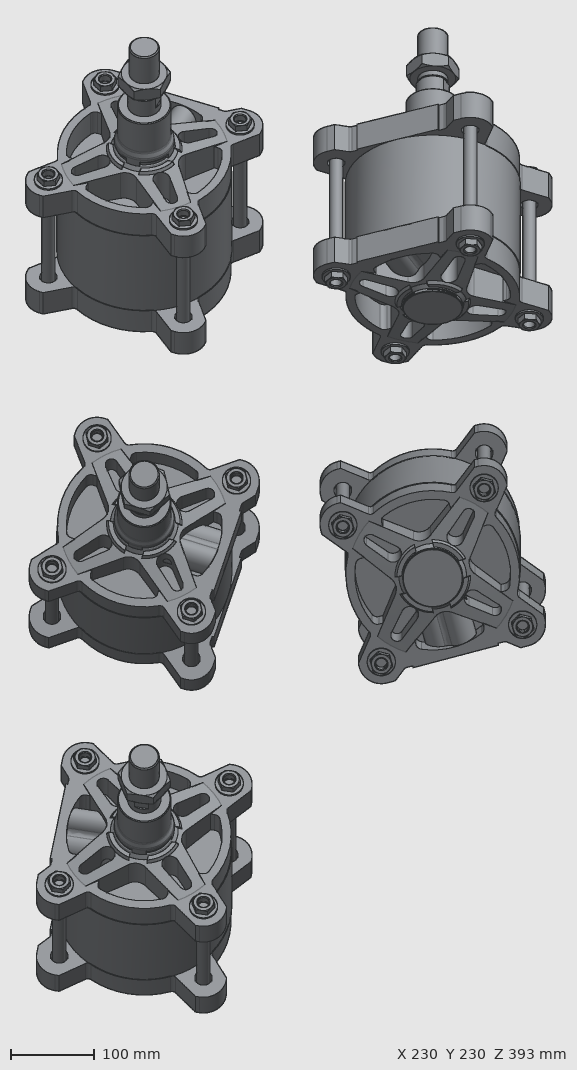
import cadquery as cq
import math

TOTAL_HEIGHT = 393.0
COVER_THICKNESS = 36.0
LOWER_FACE_Z = 16.5
UPPER_FACE_Z = 215.0
MID_Z = (LOWER_FACE_Z + UPPER_FACE_Z) / 2

BARREL_DIA = 210.0
COVER_DIA = 208.0
OUTER_WIDTH = 230.0
TIE_ROD_POS = 87.5
LUG_RADIUS = OUTER_WIDTH / 2 - TIE_ROD_POS
LUG_FLAT = 4.7
PORT_LUG_FLAT = 10.0
LUG_SIDE_ANGLE = 38.3
LUG_SIDE_RUN = 47.0
LUG_ROOT_FILLET = 6.0
PORT_FLAT_Y = 102.5
PORT_FLAT_WIDTH = 125.8
PORT_PAD_Y = BARREL_DIA / 2
PORT_PAD_WIDTH = 106.0

CREST_CONE_RADIUS = 101.0
CREST_CONE_SLOPE = 0.13
ARM_END_HALF_WIDTH = 19.3
ARM_TAPER = 0.14
POCKET_RADIUS = 93.0
POCKET_HALF_WIDTH = 42.0
POCKET_ROOT_FILLET = 17.3
POCKET_CORNER_FILLET = 8.0
POCKET_FLOOR = 0.5
SLOT_OUTER_POS = 86.0
SLOT_OUTER_RADIUS = 7.5
SLOT_INNER_POS = 55.0
SLOT_INNER_RADIUS = 10.2

HUB_RADIUS = 51.0
COLLAR_RADIUS = 45.0
COLLAR_TOP_RADIUS = 43.0
COLLAR_HEIGHT = 11.0
COLLAR_GAP = 22.0
SKIRT_RADIUS = 40.5
SKIRT_HEIGHT = 12.0
NOSE_DIA = 72.0
GROOVE_BOTTOM = 12.0
GROOVE_HEIGHT = 6.5
GROOVE_DEPTH = 2.0
GROOVE_FLANK = 1.0
RIB_WIDTH = 17.3
NOSE_CHAMFER = 0.8
REAR_GROOVE_Z = 2.8
REAR_GROOVE_HEIGHT = 2.8

PORT_BOSS_DIA = 40.0
PORT_BOSS_X = -13.0
PORT_BOSS_Z = 2.5
VALVE_BOSS_DIA = 33.8
VALVE_BOSS_X = 13.5
BOSS_LENGTH = 98.2
BOSS_VALLEY_FILLET = 8.0

TIE_ROD_DIA = 16.0
TIE_ROD_CLEARANCE_DIA = 21.0
FLANGE_DIA = 33.8
FLANGE_THICKNESS = 2.5
TIE_NUT_FLATS = 24.0
TIE_NUT_HEIGHT = 11.0
SOCKET_DIA = 13.8
SOCKET_DEPTH = 11.8
SOCKET_CHAMFER = 1.0

GLAND_DIA = 64.0
GLAND_TOP_Z = 295.5
GLAND_CHAMFER = 1.0
CONE_TOP_Z = 246.5
CONE_BOTTOM_Z = 239.0
CONE_FILLET = 5.0

ROD_DIA = 40.0
ROD_SHOULDER_Z = 321.0
THREAD_DIA = 36.0
THREAD_START_Z = 324.2
UNDERCUT_DIA = 33.5
THREAD_CHAMFER = 1.5
FLATS_WIDTH = 36.0
FLATS_BOTTOM_Z = 305.0
ROD_NUT_FLATS = 55.0
ROD_NUT_HEIGHT = 18.5
ROD_NUT_BOTTOM_Z = 330.5
NUT_CHAMFER_ANGLE = 30.0


def on_diagonals(shape):
    """Combine four copies of a shape, turned onto the four diagonals."""
    copies = cq.Workplane("XY")
    for angle in (45, 135, 225, 315):
        copies = copies.add(shape.rotate((0, 0, 0), (0, 0, 1), angle))
    return copies.combine()


def hexagon_nut(flats, height):
    """Upright hexagon prism with two of its flats facing +X and -X."""
    corner_dia = flats / math.cos(math.radians(30))
    return cq.Workplane("XY").polygon(6, corner_dia).extrude(height).rotate((0, 0, 0), (0, 0, 1), 30)


def corner_cone(flats, height):
    """Cone that trims the top corners of a hexagon nut, down from its flats at the given height."""
    reach = flats
    drop = reach * math.tan(math.radians(NUT_CHAMFER_ANGLE))
    outline = [(0, -flats), (flats / 2 + reach, -flats), (flats / 2 + reach, height - drop),
               (flats / 2, height), (0, height)]
    return cq.Workplane("XZ").polyline(outline).close().revolve(360, (0, 0), (0, 1))


def mirrored_about_middle(shape):
    """Mirror image of a shape in the plane halfway between the two covers."""
    return shape.mirror("XY", (0, 0, MID_Z))



def lug(y_side):
    """One corner lug in the quadrant of +X and the given Y side (1 faces the port)."""
    outer = OUTER_WIDTH / 2
    slant = math.radians(LUG_SIDE_ANGLE)
    along = LUG_SIDE_RUN * math.cos(slant)
    across = LUG_SIDE_RUN * math.sin(slant)
    end_flat = PORT_LUG_FLAT if y_side > 0 else LUG_FLAT
    end_start = TIE_ROD_POS - end_flat
    side_start = TIE_ROD_POS - LUG_FLAT
    round_middle = TIE_ROD_POS + LUG_RADIUS * math.cos(math.radians(45))
    return (
        cq.Workplane("XY")
        .moveTo(0, 0)
        .lineTo(end_start - along, y_side * (outer - across))
        .lineTo(end_start, y_side * outer)
        .lineTo(TIE_ROD_POS, y_side * outer)
        .threePointArc((round_middle, y_side * round_middle), (outer, y_side * TIE_ROD_POS))
        .lineTo(outer, y_side * side_start)
        .lineTo(outer - across, y_side * (side_start - along))
        .close()
        .extrude(COVER_THICKNESS)
    )


def is_lug_root(edge):
    """True for the upright inner corners where a lug meets the round or flat side."""
    x, y, _ = edge.Center().toTuple()
    on_round = abs(math.hypot(x, y) - COVER_DIA / 2) < 0.2
    on_flat = abs(y - PORT_FLAT_Y) < 0.2 and abs(x) > PORT_PAD_WIDTH / 2
    return on_round or on_flat


def cover_plate():
    """Flat cover outline: a disc with a squared port side and four lugs."""
    plate = cq.Workplane("XY").circle(COVER_DIA / 2).extrude(COVER_THICKNESS)
    for width, reach in ((PORT_FLAT_WIDTH, PORT_FLAT_Y), (PORT_PAD_WIDTH, PORT_PAD_Y)):
        plate = plate.union(cq.Workplane("XY").box(width, reach, COVER_THICKNESS, (True, False, False)))
    for y_side in (1, -1):
        one_lug = lug(y_side)
        plate = plate.union(one_lug).union(one_lug.mirror("YZ"))
    return plate.edges("|Z").filter(is_lug_root).fillet(LUG_ROOT_FILLET)


def crest_height(radius):
    """Height of the conical top of the arms and hub above the outer face."""
    return CREST_CONE_SLOPE * (CREST_CONE_RADIUS - radius)


def spider():
    """Four tapered arms and a hub under one shallow cone that rises toward the axis."""
    top_z = COVER_THICKNESS + crest_height(SKIRT_RADIUS)
    outline = [(0, 0), (CREST_CONE_RADIUS, 0), (CREST_CONE_RADIUS, COVER_THICKNESS),
               (SKIRT_RADIUS, top_z), (0, top_z)]
    crest = cq.Workplane("XZ").polyline(outline).close().revolve(360, (0, 0), (0, 1))
    axis_half_width = ARM_END_HALF_WIDTH + CREST_CONE_RADIUS * ARM_TAPER
    plan = [(0, -axis_half_width), (CREST_CONE_RADIUS, -ARM_END_HALF_WIDTH),
            (CREST_CONE_RADIUS, ARM_END_HALF_WIDTH), (0, axis_half_width)]
    arm = cq.Workplane("XY").polyline(plan).close().extrude(top_z)
    hub = cq.Workplane("XY").circle(HUB_RADIUS).extrude(top_z)
    return crest.intersect(on_diagonals(arm).union(hub))


def pocket():
    """Cutter for the pocket between two arms on the +Y side."""
    arm_meeting = (ARM_END_HALF_WIDTH + CREST_CONE_RADIUS * ARM_TAPER) / (1 + ARM_TAPER)
    apex_y = arm_meeting * math.sqrt(2)
    side_slope = (1 - ARM_TAPER) / (1 + ARM_TAPER)
    side_y = apex_y + POCKET_HALF_WIDTH * side_slope
    outline = [(0, apex_y), (POCKET_HALF_WIDTH, side_y), (POCKET_HALF_WIDTH, POCKET_RADIUS),
               (-POCKET_HALF_WIDTH, POCKET_RADIUS), (-POCKET_HALF_WIDTH, side_y)]
    wedge = cq.Workplane("XY").polyline(outline).close().extrude(2 * COVER_THICKNESS)
    wedge = wedge.edges("|Z").edges("<Y").fillet(POCKET_ROOT_FILLET)
    rounded = wedge.intersect(cq.Workplane("XY").circle(POCKET_RADIUS).extrude(2 * COVER_THICKNESS))
    return rounded.edges("|Z").edges(">Y").fillet(POCKET_CORNER_FILLET)


def arm_slot():
    """Cutter for the tapered slot with round ends in the arm along +X."""
    lean = (SLOT_INNER_RADIUS - SLOT_OUTER_RADIUS) / (SLOT_OUTER_POS - SLOT_INNER_POS)
    rise = math.sqrt(1 - lean**2)
    outer_tangent = (SLOT_OUTER_POS + SLOT_OUTER_RADIUS * lean, SLOT_OUTER_RADIUS * rise)
    inner_tangent = (SLOT_INNER_POS + SLOT_INNER_RADIUS * lean, SLOT_INNER_RADIUS * rise)
    return (
        cq.Workplane("XY")
        .moveTo(inner_tangent[0], inner_tangent[1])
        .lineTo(outer_tangent[0], outer_tangent[1])
        .threePointArc((SLOT_OUTER_POS + SLOT_OUTER_RADIUS, 0), (outer_tangent[0], -outer_tangent[1]))
        .lineTo(inner_tangent[0], -inner_tangent[1])
        .threePointArc((SLOT_INNER_POS - SLOT_INNER_RADIUS, 0), inner_tangent)
        .close()
        .extrude(2 * COVER_THICKNESS)
    )


def port_bosses():
    """Two round bosses, blended together, that run along Y from the hub to the port side."""
    bosses = cq.Workplane("XY")
    for dia, x, z in ((PORT_BOSS_DIA, PORT_BOSS_X, PORT_BOSS_Z),
                      (VALVE_BOSS_DIA, VALVE_BOSS_X, COVER_THICKNESS / 2)):
        boss = cq.Workplane("XZ", origin=(x, 0, z)).circle(dia / 2).extrude(-BOSS_LENGTH)
        bosses = bosses.union(boss)
    bosses = bosses.edges("|Y").edges(">Z").fillet(BOSS_VALLEY_FILLET)
    envelope = cq.Workplane("XY").box(OUTER_WIDTH, OUTER_WIDTH, COVER_THICKNESS, (True, True, False))
    return bosses.intersect(envelope)


def hub_collar():
    """Ring of four conical collar pieces around a skirt that rises to the nose."""
    base_height = crest_height(COLLAR_RADIUS)
    outline = [(0, 0), (COLLAR_RADIUS, 0), (COLLAR_RADIUS, base_height),
               (COLLAR_TOP_RADIUS, COLLAR_HEIGHT), (0, COLLAR_HEIGHT)]
    collar = cq.Workplane("XZ").polyline(outline).close().revolve(360, (0, 0), (0, 1))
    for size in ((COLLAR_GAP, 2 * COLLAR_RADIUS), (2 * COLLAR_RADIUS, COLLAR_GAP)):
        collar = collar.cut(cq.Workplane("XY").rect(*size).extrude(COLLAR_HEIGHT))
    skirt_outline = [(0, 0), (SKIRT_RADIUS, 0), (SKIRT_RADIUS, crest_height(SKIRT_RADIUS)),
                     (NOSE_DIA / 2, SKIRT_HEIGHT), (0, SKIRT_HEIGHT)]
    skirt = cq.Workplane("XZ").polyline(skirt_outline).close().revolve(360, (0, 0), (0, 1))
    return collar.union(skirt).translate((0, 0, COVER_THICKNESS))


def nose_groove(height):
    """Cutter for a groove with slanted flanks around the nose, interrupted by four ribs."""
    nose_radius = NOSE_DIA / 2
    floor_radius = nose_radius - GROOVE_DEPTH
    outline = [(nose_radius, 0), (floor_radius, GROOVE_FLANK),
               (floor_radius, height - GROOVE_FLANK), (nose_radius, height)]
    groove = cq.Workplane("XZ").polyline(outline).close().revolve(360, (0, 0), (0, 1))
    for size in ((RIB_WIDTH, 2 * NOSE_DIA), (2 * NOSE_DIA, RIB_WIDTH)):
        groove = groove.cut(cq.Workplane("XY").rect(*size).extrude(height))
    return groove


def cover():
    """Cover with its spider arms, hub, port bosses and tie-rod holes."""
    body = cover_plate().union(spider()).union(hub_collar())
    one_pocket = pocket().translate((0, 0, POCKET_FLOOR))
    for angle in (0, 90, 180, 270):
        body = body.cut(one_pocket.rotate((0, 0, 0), (0, 0, 1), angle))
    body = body.cut(on_diagonals(arm_slot().translate((0, 0, POCKET_FLOOR))))
    body = body.union(port_bosses())
    for x in (-TIE_ROD_POS, TIE_ROD_POS):
        for y in (-TIE_ROD_POS, TIE_ROD_POS):
            hole = cq.Workplane("XY").center(x, y).circle(TIE_ROD_CLEARANCE_DIA / 2)
            body = body.cut(hole.extrude(COVER_THICKNESS))
    return body



def tie_nut():
    """Flanged nut standing on z = 0, with a socket in its top."""
    nut = hexagon_nut(TIE_NUT_FLATS, TIE_NUT_HEIGHT)
    nut = nut.intersect(corner_cone(TIE_NUT_FLATS, TIE_NUT_HEIGHT))
    return nut.union(cq.Workplane("XY").circle(FLANGE_DIA / 2).extrude(FLANGE_THICKNESS))


def tie_rod():
    rod = cq.Workplane("XY", origin=(0, 0, LOWER_FACE_Z)).circle(TIE_ROD_DIA / 2)
    rod = rod.extrude(UPPER_FACE_Z - LOWER_FACE_Z)
    upper_nut = tie_nut().translate((0, 0, UPPER_FACE_Z))
    rod = rod.union(upper_nut).union(mirrored_about_middle(upper_nut))
    socket_top = UPPER_FACE_Z + TIE_NUT_HEIGHT
    wide_radius = SOCKET_DIA / 2 + SOCKET_CHAMFER
    outline = [(0, socket_top - SOCKET_DEPTH), (SOCKET_DIA / 2, socket_top - SOCKET_DEPTH),
               (SOCKET_DIA / 2, socket_top - SOCKET_CHAMFER), (wide_radius, socket_top), (0, socket_top)]
    socket = cq.Workplane("XZ").polyline(outline).close().revolve(360, (0, 0), (0, 1))
    return rod.cut(socket).cut(mirrored_about_middle(socket))



def gland():
    """Stepped nose of the upper cover that guides the piston rod."""
    nose_radius = NOSE_DIA / 2
    gland_radius = GLAND_DIA / 2
    outline = [(0, UPPER_FACE_Z), (nose_radius, UPPER_FACE_Z), (nose_radius, CONE_BOTTOM_Z),
               (gland_radius, CONE_TOP_Z), (gland_radius, GLAND_TOP_Z), (0, GLAND_TOP_Z)]
    body = cq.Workplane("XZ").polyline(outline).close().revolve(360, (0, 0), (0, 1))
    body = body.faces(">Z").chamfer(GLAND_CHAMFER)
    cone_edges = cq.selectors.BoxSelector((-NOSE_DIA, -NOSE_DIA, CONE_BOTTOM_Z - CONE_FILLET),
                                          (NOSE_DIA, NOSE_DIA, CONE_TOP_Z + CONE_FILLET))
    body = body.edges(cone_edges).edges("%CIRCLE").fillet(CONE_FILLET)
    return body.cut(nose_groove(GROOVE_HEIGHT).translate((0, 0, UPPER_FACE_Z + GROOVE_BOTTOM)))


def rear_nose():
    """Short centring nose on the lower cover, ending at z = 0."""
    nose = cq.Workplane("XY").circle(NOSE_DIA / 2).extrude(LOWER_FACE_Z)
    nose = nose.faces("<Z").chamfer(NOSE_CHAMFER)
    return nose.cut(nose_groove(REAR_GROOVE_HEIGHT).translate((0, 0, REAR_GROOVE_Z)))


def make_housing():
    inner_face_z = UPPER_FACE_Z - COVER_THICKNESS
    barrel = cq.Workplane("XY", origin=(0, 0, LOWER_FACE_Z + COVER_THICKNESS)).circle(BARREL_DIA / 2)
    body = barrel.extrude(inner_face_z - LOWER_FACE_Z - COVER_THICKNESS)
    upper_cover = cover().translate((0, 0, inner_face_z))
    body = body.union(upper_cover, clean=False).union(mirrored_about_middle(upper_cover), clean=False)
    body = body.union(gland()).union(rear_nose())
    one_tie_rod = tie_rod()
    for x in (-TIE_ROD_POS, TIE_ROD_POS):
        for y in (-TIE_ROD_POS, TIE_ROD_POS):
            body = body.union(one_tie_rod.translate((x, y, 0)))
    bore = cq.Workplane("XY", origin=(0, 0, inner_face_z)).circle(ROD_DIA / 2)
    return body.cut(bore.extrude(GLAND_TOP_Z - inner_face_z))



def make_piston_rod():
    """Rod with wrench flats, an undercut and a chamfered thread end."""
    bottom_z = UPPER_FACE_Z - COVER_THICKNESS
    rod = cq.Workplane("XY", origin=(0, 0, bottom_z)).circle(ROD_DIA / 2).extrude(ROD_SHOULDER_Z - bottom_z)
    undercut = cq.Workplane("XY", origin=(0, 0, ROD_SHOULDER_Z)).circle(UNDERCUT_DIA / 2)
    rod = rod.union(undercut.extrude(THREAD_START_Z - ROD_SHOULDER_Z))
    thread = cq.Workplane("XY", origin=(0, 0, THREAD_START_Z)).circle(THREAD_DIA / 2)
    thread = thread.extrude(TOTAL_HEIGHT - THREAD_START_Z).faces(">Z").chamfer(THREAD_CHAMFER)
    rod = rod.union(thread)
    flats_height = ROD_SHOULDER_Z - FLATS_BOTTOM_Z
    for side in (1, -1):
        beside_flat = cq.Workplane("XY", origin=(side * (FLATS_WIDTH + ROD_DIA) / 2, 0, FLATS_BOTTOM_Z))
        rod = rod.cut(beside_flat.rect(ROD_DIA, ROD_DIA).extrude(flats_height))
    return rod



def make_rod_nut():
    """Hexagon nut on the thread, chamfered on both ends."""
    cone = corner_cone(ROD_NUT_FLATS, ROD_NUT_HEIGHT)
    nut = hexagon_nut(ROD_NUT_FLATS, ROD_NUT_HEIGHT).intersect(cone)
    nut = nut.intersect(cone.mirror("XY", (0, 0, ROD_NUT_HEIGHT / 2)))
    hole = cq.Workplane("XY").circle(THREAD_DIA / 2).extrude(ROD_NUT_HEIGHT)
    return nut.cut(hole).translate((0, 0, ROD_NUT_BOTTOM_Z))


housing = make_housing()
piston_rod = make_piston_rod()
rod_nut = make_rod_nut()
result = cq.Compound.makeCompound([housing.val(), piston_rod.val(), rod_nut.val()])